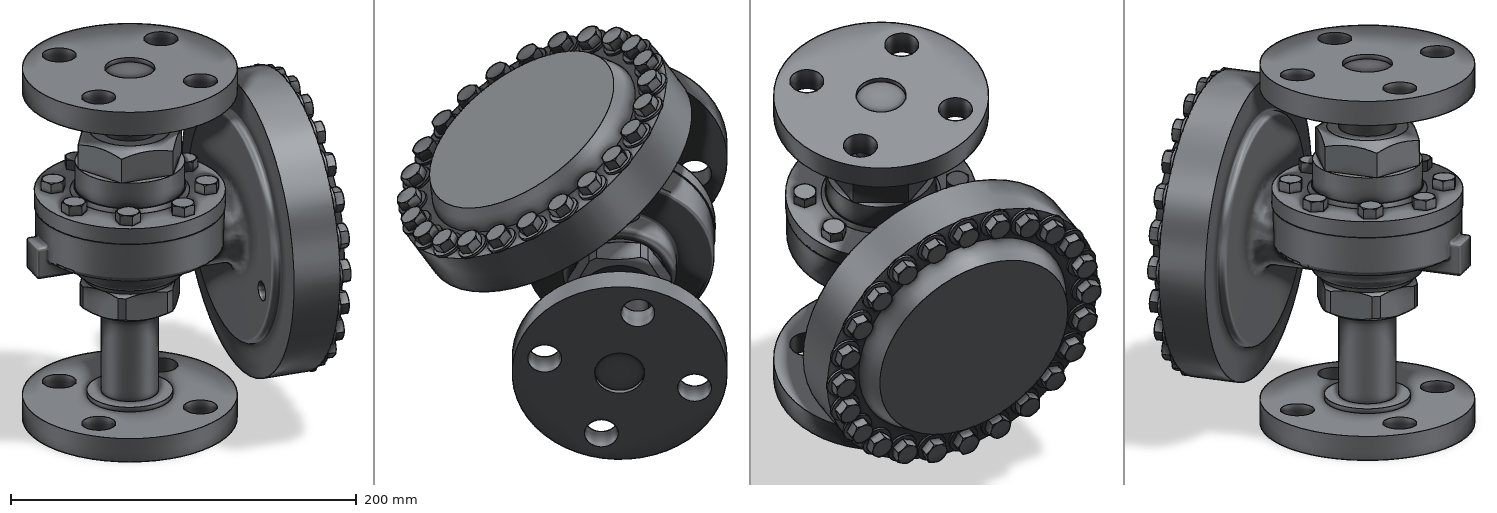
import cadquery as cq
import math


overall_height = 222.2
half_height = overall_height / 2
pipe_radius = 16.7
flange_radius = 62.2
flange_thickness = 15.0
flange_hub_radius = 25.0
flange_hub_height = 3.0
flange_hole_diameter = 19.5
flange_hole_spacing = 63.1
recess_radius = 14.5
recess_depth = 3.0

union_base = 52.2
union_top = 72.2
union_across_flats = 55.5
upper_collar_radius = 31.8
seat_ring_outer_radius = 34.7
seat_ring_top_radius = 32.5
seat_ring_height = 2.2
cap_top = 34.0
cap_thickness = 10.0
cap_radius = 55.3
body_bottom = -0.5
body_radius = 54.7
body_edge_radius = 2.7
lower_collar_radius = 33.0
lower_collar_bottom = -17.5
lower_collar_edge_radius = 5.3
lower_collar_blend = 2.0
neck_radius = 27.1
nut_top = -20.5
nut_bottom = -39.1
nut_across_flats = 54.2
nut_corner_radius = 30.0
nut_top_bevel_radius = 27.1
nut_bottom_bevel_radius = 24.0
hex_bevel_angle = 30.0
hex_corner_turn = 30.0
union_bevel_radius = 23.5

cap_bolt_count = 8
cap_bolt_circle_radius = 44.5
bolt_across_flats = 12.7
cap_bolt_height = 6.2

lug_width = 18.2
lug_top = 9.8
lug_bottom = -9.8
lug_front = -60.7
lug_edge_radius = 1.8
lug_face_radius = 1.5
lug_root_radius = 1.8

chamber_radius = 89.8
chamber_front = 67.1
chamber_back = 95.5
cover_step_radius = 69.1
cover_front = 62.0
cover_edge_radius = 3.1
cover_root_radius = 1.5
cover_dish = 1.0
back_cone_end = 109.0
back_cone_end_radius = 62.5
back_cone_base_radius = 69.0
chamber_bolt_count = 24
chamber_bolt_circle_radius = 81.3
washer_radius = 9.1
washer_thickness = 1.5
chamber_bolt_height = 6.2
vent_x = 51.8
vent_z = -19.0
vent_radius = 5.8
vent_depth = 4.5

select_margin = 0.2

nozzle_half_width = 26.7
nozzle_mid_z = 4.2
nozzle_lower_radius = 21.5
nozzle_upper_corner_radius = 17.8
nozzle_upper_corner_angle = 65.0
nozzle_flare_radius = 9.0


def disc(radius, bottom, top):
    """Upright cylinder on the pipe axis."""
    return cq.Workplane("XY").workplane(offset=bottom).circle(radius).extrude(top - bottom)


def hexagon(across_flats, height):
    """Hexagonal prism standing on Z = 0 with two corners on the X axis."""
    return cq.Workplane("XY").polygon(6, across_flats / math.cos(math.pi / 6)).extrude(height)


def bevel_envelope(bottom, top, outer_radius, top_radius, bottom_radius=None):
    """Cylinder with a conical top, and optionally a conical bottom, for bevelling a hexagon."""
    slope = math.tan(math.radians(hex_bevel_angle))
    outline = [
        (0, top),
        (top_radius, top),
        (outer_radius, top - (outer_radius - top_radius) * slope),
    ]
    if bottom_radius is None:
        outline += [(outer_radius, bottom)]
    else:
        outline += [
            (outer_radius, bottom + (outer_radius - bottom_radius) * slope),
            (bottom_radius, bottom),
        ]
    outline += [(0, bottom)]
    return cq.Workplane("XZ").polyline(outline).close().revolve(360, (0, 0, 0), (0, 1, 0))


def end_flange():
    """Upper pipe flange with its hub, bolt holes and shallow bore recess."""
    underside = half_height - flange_thickness
    flange = disc(flange_radius, underside, half_height)
    flange = flange.union(disc(flange_hub_radius, underside - flange_hub_height, underside))
    flange = (
        flange.faces(">Z")
        .workplane(origin=(0, 0, half_height))
        .rect(flange_hole_spacing, flange_hole_spacing, forConstruction=True)
        .vertices()
        .hole(flange_hole_diameter)
    )
    return flange.cut(disc(recess_radius, half_height - recess_depth, half_height))


def pipe_with_flanges():
    """Pipe along Z with matching flanges at both ends."""
    pipe = disc(pipe_radius, -half_height + flange_thickness, half_height - flange_thickness)
    flange = end_flange()
    return pipe.union(flange).union(flange.mirror("XY"))


def union_hexagon():
    """Hexagon above the cap, flats facing +X and -X, bevelled on top."""
    corner_radius = union_across_flats / math.sqrt(3)
    prism = hexagon(union_across_flats, union_top - union_base)
    prism = prism.rotate((0, 0, 0), (0, 0, 1), hex_corner_turn).translate((0, 0, union_base))
    bevel = bevel_envelope(union_base, union_top, corner_radius, union_bevel_radius)
    return prism.intersect(bevel)


def lower_nut():
    """Hexagon under the body with rounded corners, bevelled at both ends."""
    prism = hexagon(nut_across_flats, nut_top - nut_bottom)
    prism = prism.rotate((0, 0, 0), (0, 0, 1), hex_corner_turn).translate((0, 0, nut_bottom))
    return prism.intersect(
        bevel_envelope(
            nut_bottom, nut_top, nut_corner_radius, nut_top_bevel_radius, nut_bottom_bevel_radius
        )
    )


def bolt_head(height):
    """Hexagon head standing on Z = 0, its top corners bevelled to a circle."""
    corner_radius = bolt_across_flats / math.sqrt(3)
    bevel = bevel_envelope(0, height, corner_radius, bolt_across_flats / 2)
    return hexagon(bolt_across_flats, height).intersect(bevel)


def cap_bolts():
    """Ring of hexagon heads on the cap, straddling the X and Y axes."""
    pitch = 360 / cap_bolt_count
    bolts = cq.Workplane("XY")
    head = bolt_head(cap_bolt_height).rotate((0, 0, 0), (0, 0, 1), pitch / 2)
    head = head.translate((cap_bolt_circle_radius, 0, cap_top))
    for index in range(cap_bolt_count):
        bolts = bolts.add(head.rotate((0, 0, 0), (0, 0, 1), (index - 0.5) * pitch))
    return bolts.combine()


def seat_ring():
    """Tapered ring around the foot of the upper collar."""
    ring = cq.Workplane("XY").workplane(offset=cap_top).circle(seat_ring_outer_radius)
    return ring.workplane(offset=seat_ring_height).circle(seat_ring_top_radius).loft()


def valve_body():
    """Cap, cylindrical body and lower collar as turned shapes on the pipe axis."""
    cap = disc(cap_radius, cap_top - cap_thickness, cap_top)
    bowl = disc(body_radius, body_bottom, cap_top - cap_thickness)
    bowl = bowl.faces("<Z").edges().fillet(body_edge_radius)
    lower_collar = disc(lower_collar_radius, lower_collar_bottom, body_bottom)
    lower_collar = lower_collar.faces("<Z").edges().fillet(lower_collar_edge_radius)
    bowl = bowl.union(lower_collar)
    underside = bowl.faces(cq.selectors.NearestToPointSelector((0, body_radius, body_bottom)))
    bowl = underside.edges(cq.selectors.RadiusNthSelector(0)).fillet(lower_collar_blend)
    neck = disc(neck_radius, nut_top, lower_collar_bottom)
    upper_collar = disc(upper_collar_radius, cap_top, union_base)
    return bowl.union(cap).union(neck).union(upper_collar).union(seat_ring())


def lug():
    """Square lug running forward out of the body, with rounded edges."""
    height = lug_top - lug_bottom
    block = cq.Workplane("XY").box(lug_width, -lug_front, height, centered=(True, False, False))
    block = block.translate((0, lug_front, lug_bottom))
    block = block.edges("|Y").fillet(lug_edge_radius)
    return block.faces("<Y").edges().fillet(lug_face_radius)


def body_with_lug():
    """Turned body joined to the lug by a small blend around the root of the lug."""
    joined = valve_body().union(lug())
    half_width = lug_width / 2 + select_margin
    root_region = cq.selectors.BoxSelector(
        (-half_width, -body_radius - select_margin, lug_bottom - select_margin),
        (half_width, 0, lug_top + select_margin),
        boundingbox=True,
    )
    return joined.edges(root_region).fillet(lug_root_radius)


def chamber():
    """Turned diaphragm chamber on the Y axis, without its bolts."""
    root_start = cover_step_radius + cover_root_radius
    edge_mid = cover_edge_radius * (1 - math.sqrt(0.5))
    root_mid = cover_root_radius * (1 - math.sqrt(0.5))
    profile = (
        cq.Workplane("XY")
        .moveTo(0, cover_front - cover_dish)
        .lineTo(cover_step_radius - cover_edge_radius, cover_front)
        .threePointArc(
            (cover_step_radius - edge_mid, cover_front + edge_mid),
            (cover_step_radius, cover_front + cover_edge_radius),
        )
        .lineTo(cover_step_radius, chamber_front - cover_root_radius)
        .threePointArc(
            (cover_step_radius + root_mid, chamber_front - root_mid), (root_start, chamber_front)
        )
        .lineTo(chamber_radius, chamber_front)
        .lineTo(chamber_radius, chamber_back)
        .lineTo(back_cone_base_radius, chamber_back)
        .lineTo(back_cone_end_radius, back_cone_end)
        .lineTo(0, back_cone_end)
        .close()
    )
    return profile.revolve(360, (0, 0, 0), (0, 1, 0))


def chamber_bolts():
    """Ring of washers and hexagon heads on the back of the chamber."""
    washer = cq.Workplane("XY").circle(washer_radius).extrude(washer_thickness)
    head = bolt_head(chamber_bolt_height).translate((0, 0, washer_thickness))
    bolt = washer.union(head)
    bolt = bolt.rotate((0, 0, 0), (1, 0, 0), -90)
    bolt = bolt.translate((0, chamber_back, chamber_bolt_circle_radius))
    bolts = cq.Workplane("XY")
    for index in range(chamber_bolt_count):
        bolts = bolts.add(bolt.rotate((0, 0, 0), (0, 1, 0), index * 360 / chamber_bolt_count))
    return bolts.combine()


def nozzle():
    """Rounded nozzle between the pipe axis and the chamber cover."""
    lower_center_x = nozzle_half_width - nozzle_lower_radius
    lower_z = nozzle_mid_z - nozzle_lower_radius
    lower_diagonal = nozzle_lower_radius * math.sqrt(0.5)
    corner_center_x = nozzle_half_width - nozzle_upper_corner_radius
    seam_angle = math.radians(nozzle_upper_corner_angle)
    mid_angle = seam_angle / 2
    seam_x = corner_center_x + nozzle_upper_corner_radius * math.cos(seam_angle)
    seam_z = nozzle_mid_z + nozzle_upper_corner_radius * math.sin(seam_angle)
    corner_x = corner_center_x + nozzle_upper_corner_radius * math.cos(mid_angle)
    corner_z = nozzle_mid_z + nozzle_upper_corner_radius * math.sin(mid_angle)
    crown_radius = nozzle_upper_corner_radius + corner_center_x / math.cos(seam_angle)
    crown_z = nozzle_mid_z - corner_center_x * math.tan(seam_angle) + crown_radius
    outline = (
        cq.Workplane("XZ")
        .moveTo(-lower_center_x, lower_z)
        .lineTo(lower_center_x, lower_z)
        .threePointArc(
            (lower_center_x + lower_diagonal, nozzle_mid_z - lower_diagonal),
            (nozzle_half_width, nozzle_mid_z),
        )
        .threePointArc((corner_x, corner_z), (seam_x, seam_z))
        .threePointArc((0, crown_z), (-seam_x, seam_z))
        .threePointArc((-corner_x, corner_z), (-nozzle_half_width, nozzle_mid_z))
        .threePointArc(
            (-lower_center_x - lower_diagonal, nozzle_mid_z - lower_diagonal),
            (-lower_center_x, lower_z),
        )
        .close()
    )
    return outline.extrude(-chamber_front)


def chamber_with_nozzle():
    """Chamber and nozzle with a flared root, a vent hole and the bolts."""
    joined = chamber().union(nozzle())
    half_width = nozzle_half_width + select_margin
    root_edges = cq.selectors.BoxSelector(
        (-half_width, cover_front - cover_dish - select_margin, -half_width),
        (half_width, cover_front + select_margin, half_width),
        boundingbox=True,
    )
    joined = joined.edges(root_edges).fillet(nozzle_flare_radius)
    vent = (
        cq.Workplane("XZ", origin=(0, cover_front + vent_depth, 0))
        .center(vent_x, vent_z)
        .circle(vent_radius)
        .extrude(2 * vent_depth)
    )
    return joined.cut(vent).union(chamber_bolts())


result = (
    chamber_with_nozzle()
    .union(body_with_lug())
    .union(pipe_with_flanges())
    .union(union_hexagon())
    .union(lower_nut())
    .union(cap_bolts())
)